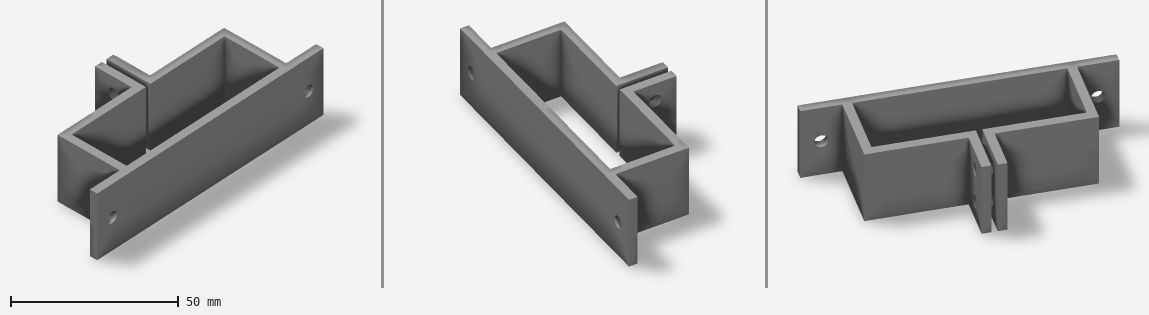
import cadquery as cq

height = 25.0
wall = 3.0
cavity_depth = 22.5
cavity_width = 66.5
flange_length = 13.0
tab_length = 15.0
split_gap = 2.0
hole_diameter = 4.3
tab_hole_spacing = 12.0

box_depth = cavity_depth + 2 * wall
box_width = cavity_width + 2 * wall
plate_width = box_width + 2 * flange_length
tabs_width = split_gap + 2 * wall
tab_hole_x = -tab_length / 2
flange_hole_y = (box_width + flange_length) / 2


def block(x_start, x_end, width):
    """Full-height block centred on the XZ plane, spanning x_start to x_end."""
    return (
        cq.Workplane("XY")
        .box(x_end - x_start, width, height, centered=(False, True, False))
        .translate((x_start, 0, 0))
    )


def clamp_body():
    """Back plate, rectangular box and tabs, split down the middle of the front."""
    plate = block(box_depth - wall, box_depth, plate_width)
    box = block(0, box_depth, box_width)
    tabs = block(-tab_length, wall, tabs_width)
    cavity = block(wall, box_depth - wall, cavity_width)
    split = block(-tab_length, wall, split_gap)
    return plate.union(box).union(tabs).cut(cavity).cut(split)


def tab_holes():
    """Clamp screw holes running along Y through both tabs."""
    return (
        cq.Workplane("XZ")
        .center(tab_hole_x, height / 2)
        .rarray(1, tab_hole_spacing, 1, 2)
        .circle(hole_diameter / 2)
        .extrude(tabs_width / 2, both=True)
    )


def flange_holes():
    """Mounting holes running along X through both ears of the back plate."""
    return (
        cq.Workplane("YZ", origin=(box_depth - wall, 0, 0))
        .pushPoints([(side * flange_hole_y, height / 2) for side in (-1, 1)])
        .circle(hole_diameter / 2)
        .extrude(wall)
    )


result = clamp_body().cut(tab_holes()).cut(flange_holes())